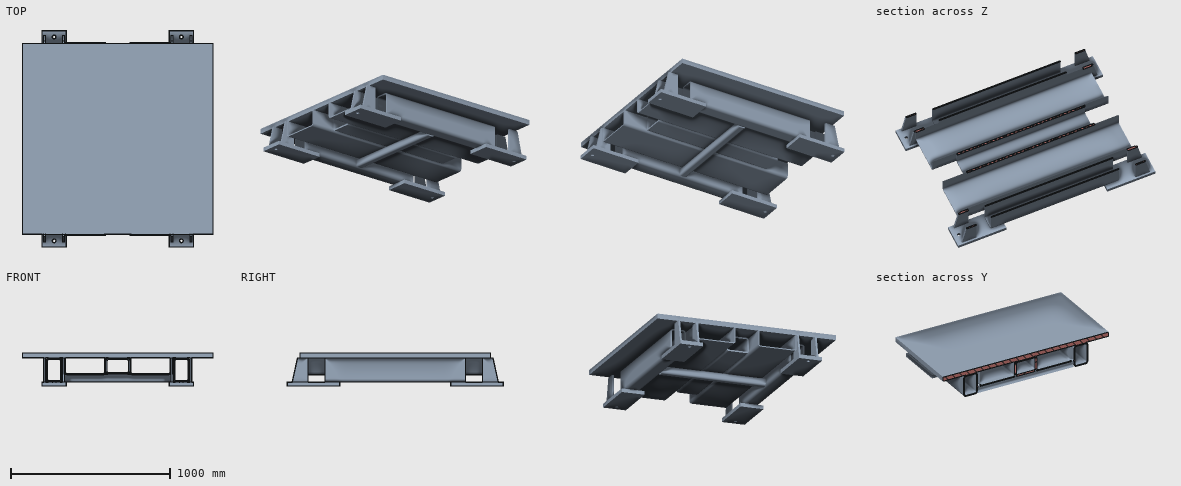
import cadquery as cq

TOP_SIDE = 1200.0
TOP_THICKNESS = 33.0

FOOT_THICKNESS = 25.0
LEG_HEIGHT = 152.0
LEG_TOP = FOOT_THICKNESS + LEG_HEIGHT

TUBE_LONG = LEG_HEIGHT
TUBE_SHORT = 102.0
TUBE_WALL = 10.0
TUBE_OUTER_RADIUS = 19.0
SIDE_TUBE_X = 400.0
SIDE_TUBE_LENGTH = 884.0

CHANNEL_WALL = 7.0
CHANNEL_INNER_X = TUBE_LONG / 2
CHANNEL_OUTER_X = 335.0
CHANNEL_HEIGHT = 106.0
CHANNEL_LENGTH = 1213.0
CHANNEL_OUTER_RADIUS = 18.0
CHANNEL_INNER_RADIUS = CHANNEL_OUTER_RADIUS - CHANNEL_WALL

CROSS_SIDE = LEG_HEIGHT - TUBE_SHORT
CROSS_WALL = 7.0
CROSS_OUTER_RADIUS = 12.0
CROSS_LENGTH = 2 * SIDE_TUBE_X - TUBE_SHORT

FOOT_WIDTH = 154.0
FOOT_LENGTH = 332.0
FOOT_END_Y = 680.0
FOOT_HOLE_DIAMETER = 22.0
FOOT_HOLE_Y = 640.0

GUSSET_THICKNESS = 12.0
GUSSET_OFFSET_X = 60.0
GUSSET_INNER_Y = 548.0
GUSSET_TOP_Y = 615.0
GUSSET_BOTTOM_Y = 649.0

SIDES = (-1, 1)
ENDS = (-1, 1)


def rounded_bar(plane, width, height, length, radius):
    """Bar of rounded rectangular section, centred along the plane's normal."""
    bar = cq.Workplane(plane).rect(width, height).extrude(length / 2, both=True)
    long_edges = "|Y" if plane == "XZ" else "|X"
    return bar.edges(long_edges).fillet(radius)


def rounded_tube(plane, width, height, length, wall, outer_radius):
    outer = rounded_bar(plane, width, height, length, outer_radius)
    inner = rounded_bar(plane, width - 2 * wall, height - 2 * wall, length, outer_radius - wall)
    return outer.cut(inner)


def side_tube(side):
    tube = rounded_tube("XZ", TUBE_SHORT, TUBE_LONG, SIDE_TUBE_LENGTH, TUBE_WALL, TUBE_OUTER_RADIUS)
    return tube.translate((side * SIDE_TUBE_X, 0, FOOT_THICKNESS + TUBE_LONG / 2))


def centre_tube():
    tube = rounded_tube("XZ", TUBE_LONG, TUBE_SHORT, SIDE_TUBE_LENGTH, TUBE_WALL, TUBE_OUTER_RADIUS)
    return tube.translate((0, 0, LEG_TOP - TUBE_SHORT / 2))


def cross_tube():
    tube = rounded_tube("YZ", CROSS_SIDE, CROSS_SIDE, CROSS_LENGTH, CROSS_WALL, CROSS_OUTER_RADIUS)
    return tube.translate((0, 0, FOOT_THICKNESS + CROSS_SIDE / 2))


def channel_block(width, height, radius):
    """Block hanging from the table top, with its two lower long edges rounded."""
    block = cq.Workplane("XY").box(width, CHANNEL_LENGTH, height)
    block = block.translate((0, 0, LEG_TOP - height / 2))
    return block.edges("|Y and <Z").fillet(radius)


def fork_channel(side):
    width = CHANNEL_OUTER_X - CHANNEL_INNER_X
    centre_x = (CHANNEL_INNER_X + CHANNEL_OUTER_X) / 2
    outer = channel_block(width, CHANNEL_HEIGHT, CHANNEL_OUTER_RADIUS)
    inner = channel_block(width - 2 * CHANNEL_WALL, CHANNEL_HEIGHT - CHANNEL_WALL, CHANNEL_INNER_RADIUS)
    return outer.cut(inner).translate((side * centre_x, 0, 0))


def foot(side, end):
    x = side * SIDE_TUBE_X
    y = end * (FOOT_END_Y - FOOT_LENGTH / 2)
    plate = cq.Workplane("XY").box(FOOT_WIDTH, FOOT_LENGTH, FOOT_THICKNESS)
    plate = plate.translate((x, y, FOOT_THICKNESS / 2))
    hole = (
        cq.Workplane("XY")
        .center(x, end * FOOT_HOLE_Y)
        .circle(FOOT_HOLE_DIAMETER / 2)
        .extrude(FOOT_THICKNESS)
    )
    return plate.cut(hole)


def gusset(x, end):
    """Upright plate with a sloping outer edge."""
    return (
        cq.Workplane("YZ")
        .moveTo(end * GUSSET_INNER_Y, FOOT_THICKNESS)
        .lineTo(end * GUSSET_BOTTOM_Y, FOOT_THICKNESS)
        .lineTo(end * GUSSET_TOP_Y, LEG_TOP)
        .lineTo(end * GUSSET_INNER_Y, LEG_TOP)
        .close()
        .extrude(GUSSET_THICKNESS / 2, both=True)
        .translate((x, 0, 0))
    )


def build_frame():
    """Welded frame: tubes, fork channels, feet and gussets in one solid."""
    frame = centre_tube().union(cross_tube())
    for side in SIDES:
        frame = frame.union(fork_channel(side)).union(side_tube(side))
    for end in ENDS:
        for side in SIDES:
            frame = frame.union(foot(side, end))
            for flank in SIDES:
                frame = frame.union(gusset(side * SIDE_TUBE_X + flank * GUSSET_OFFSET_X, end))
    return frame


def build_table_top():
    plate = cq.Workplane("XY").box(TOP_SIDE, TOP_SIDE, TOP_THICKNESS)
    return plate.translate((0, 0, LEG_TOP + TOP_THICKNESS / 2))


frame = build_frame()
table_top = build_table_top()

result = cq.Compound.makeCompound([frame.val(), table_top.val()])